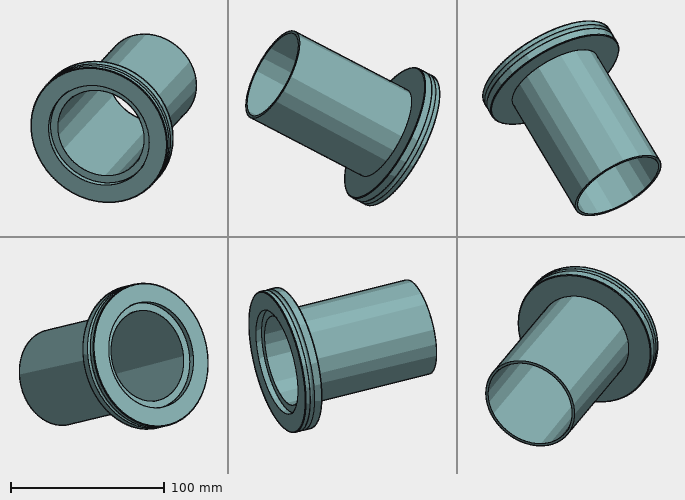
import cadquery as cq

overall_length = 100.0
tube_diameter = 63.5
bore_diameter = 60.0
flange_diameter = 95.0
flange_thickness = 12.0
rim_chamfer = 0.5
recess_diameter = 70.0
recess_depth = 4.0
groove_center = 5.0
groove_width = 3.0
groove_depth = 1.5

tube_radius = tube_diameter / 2
bore_radius = bore_diameter / 2
flange_radius = flange_diameter / 2
recess_radius = recess_diameter / 2
groove_front = groove_center - groove_width / 2
groove_back = groove_center + groove_width / 2

section = (
    cq.Workplane("XY")
    .moveTo(recess_radius, 0)
    .lineTo(flange_radius - rim_chamfer, 0)
    .lineTo(flange_radius, rim_chamfer)
    .lineTo(flange_radius, groove_front)
    .threePointArc((flange_radius - groove_depth, groove_center), (flange_radius, groove_back))
    .lineTo(flange_radius, flange_thickness - rim_chamfer)
    .lineTo(flange_radius - rim_chamfer, flange_thickness)
    .lineTo(tube_radius, flange_thickness)
    .lineTo(tube_radius, overall_length)
    .lineTo(bore_radius, overall_length)
    .lineTo(bore_radius, recess_depth)
    .lineTo(recess_radius, recess_depth)
    .close()
)

result = section.revolve(360, (0, 0), (0, 1)).translate((0, -overall_length / 2, 0))